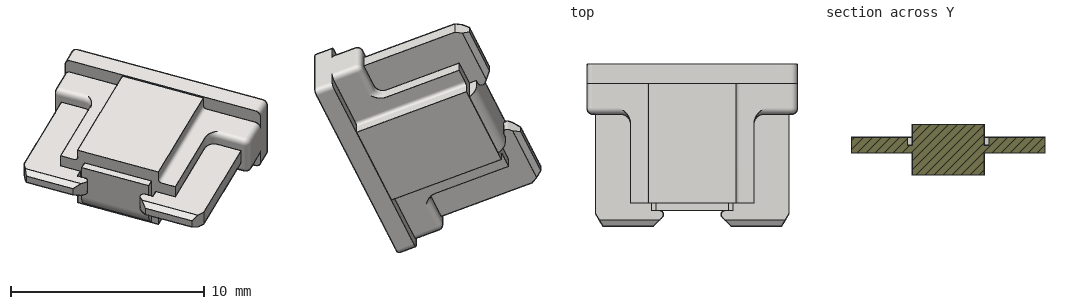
import cadquery as cq
import math


cap_width = 10.9
cap_height = 3.8
cap_depth = 1.01
corner_radius = 0.3
back_edge_radius = 0.1

housing_height = 2.22
shoulder_end = 2.62
body_width = 6.4
body_end = 7.2
shoulder_to_body_radius = 0.5
block_width = 4.51
block_height = 3.64
block_root_radius = 0.2

tongue_width = 3.74
tongue_end = 7.6
tongue_top = 1.07
tongue_bottom = -1.75
tongue_arc_top = -0.99
tongue_arc_radius = 0.93

blade_thickness = 0.83
blade_outer_x = 5.01
blade_end = 8.4
outer_taper_start = 7.75
outer_taper_width = 0.39
inner_tip_x = 1.21
inner_tip_radius = 0.2
tip_bevel_length = 0.32
tip_thickness = 0.44

pocket_outer_x = 2.1
pocket_floor_z = 0.0


def block(width, height, y_back, y_front):
    """Box centred on X and Z that runs from depth y_back to depth y_front."""
    length = y_front - y_back
    return cq.Workplane("XY").box(width, length, height).translate((0, -(y_back + y_front) / 2, 0))


def make_cap():
    cap = block(cap_width, cap_height, 0, cap_depth)
    return cap.edges("|Y").fillet(corner_radius).faces(">Y").edges().fillet(back_edge_radius)


def make_shoulder():
    """Plate between the cap and the blades with its side and front edges rounded."""
    plate = block(cap_width, housing_height, 0, shoulder_end)
    plate = plate.edges("|Y or <Y").fillet(corner_radius)
    return plate.intersect(block(cap_width, cap_height, cap_depth, shoulder_end))


def make_inner_corner():
    """Concave fillet between the +X body wall and the rounded shoulder front.

    Its section is straight along the flat of the shoulder front, and turns about
    the axes of the two shoulder roundings above and below that flat.
    """
    wall_x = body_width / 2
    axis_depth = shoulder_end - corner_radius
    axis_z = housing_height / 2 - corner_radius
    reach = corner_radius + shoulder_to_body_radius
    arc_middle = shoulder_to_body_radius * math.sqrt(0.5)

    def section(z):
        return (
            cq.Workplane("XY", origin=(wall_x, -axis_depth, z))
            .lineTo(0, -reach)
            .threePointArc(
                (shoulder_to_body_radius - arc_middle, arc_middle - reach),
                (shoulder_to_body_radius, -corner_radius),
            )
            .lineTo(shoulder_to_body_radius, 0)
            .close()
        )

    corner = section(-axis_z).extrude(2 * axis_z)
    for z in (-axis_z, axis_z):
        corner = corner.union(section(z).revolve(360, (0, 0, 0), (1, 0, 0)))
    return corner.intersect(block(cap_width, housing_height, cap_depth, body_end))


def make_root_fillet(side_z):
    """Concave fillet strip between the +X side of the centre block and the body."""
    x = block_width / 2
    z = side_z * housing_height / 2
    r = block_root_radius
    mid = r * (1 - math.sqrt(0.5))
    return (
        cq.Workplane("XZ", origin=(0, -cap_depth, 0))
        .moveTo(x, z)
        .lineTo(x + r, z)
        .threePointArc((x + mid, z + side_z * mid), (x, z + side_z * r))
        .close()
        .extrude(body_end - cap_depth)
    )


def make_tongue():
    return (
        cq.Workplane("YZ", origin=(-tongue_width / 2, 0, 0))
        .moveTo(-body_end, tongue_top)
        .lineTo(-tongue_end, tongue_top)
        .lineTo(-tongue_end, tongue_arc_top)
        .radiusArc((-body_end, tongue_bottom), -tongue_arc_radius)
        .close()
        .extrude(tongue_width)
    )


def make_blade():
    """Contact blade on the +X side with a hooked inner corner and a bevelled tip."""
    inner_end_x = inner_tip_x + blade_end - tongue_end
    outline = [
        (pocket_outer_x, -cap_depth),
        (blade_outer_x, -cap_depth),
        (blade_outer_x, -outer_taper_start),
        (blade_outer_x - outer_taper_width, -blade_end),
        (inner_end_x, -blade_end),
        (inner_tip_x, -tongue_end),
        (pocket_outer_x, -tongue_end),
    ]
    half = blade_thickness / 2
    inner_tip = cq.selectors.NearestToPointSelector((inner_tip_x, -tongue_end, 0))
    plan = cq.Workplane("XY", origin=(0, 0, -half)).polyline(outline).close().extrude(blade_thickness)
    plan = plan.edges(inner_tip).fillet(inner_tip_radius)

    bevel_start = blade_end - tip_bevel_length
    side = [
        (-cap_depth, half),
        (-bevel_start, half),
        (-blade_end, tip_thickness / 2),
        (-blade_end, -tip_thickness / 2),
        (-bevel_start, -half),
        (-cap_depth, -half),
    ]
    blade = plan.intersect(cq.Workplane("YZ").polyline(side).close().extrude(cap_width))
    floor = (
        cq.Workplane("XY", origin=(0, 0, -half))
        .moveTo(tongue_width / 2, -body_end)
        .lineTo(pocket_outer_x, -body_end)
        .lineTo(pocket_outer_x, -tongue_end)
        .lineTo(tongue_width / 2, -tongue_end)
        .close()
        .extrude(pocket_floor_z + half)
    )
    return blade.union(floor)


def make_right_half_details():
    """Everything on the +X side that repeats mirrored on the -X side."""
    details = make_blade().union(make_inner_corner())
    for side_z in (-1, 1):
        details = details.union(make_root_fillet(side_z))
    return details


right_details = make_right_half_details()
result = (
    make_cap()
    .union(make_shoulder())
    .union(block(body_width, housing_height, cap_depth, body_end))
    .union(block(block_width, block_height, cap_depth, body_end))
    .union(make_tongue())
    .union(right_details)
    .union(right_details.mirror("YZ"))
)